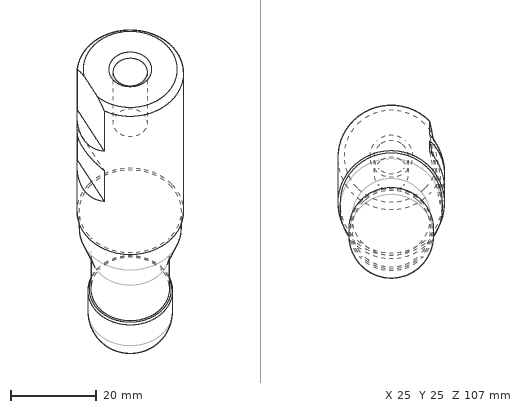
import cadquery as cq

total_length = 107.0

shank_diameter = 25.0
shank_bottom = 50.1
shank_chamfer = 1.5

collar_diameter = 24.0
collar_bottom = 43.1
neck_diameter = 18.4
taper_bottom = 33.2

head_diameter = 19.9
head_top = 18.9
head_chamfer_height = 0.6
head_chamfer_width = 0.3

flat_offset = 10.5
end_flat_length = 17.7
middle_flat_start = 25.5
middle_flat_end = 37.8

centre_hole_diameter = 8.0
countersink_diameter = 10.1
countersink_depth = 1.1
centre_hole_depth = 21.4
drill_point_depth = 2.4

shank_radius = shank_diameter / 2
collar_radius = collar_diameter / 2
neck_radius = neck_diameter / 2
head_radius = head_diameter / 2
flat_depth = shank_radius - flat_offset


def revolve_about_z(profile):
    """Turn a closed XZ profile about the Z axis."""
    return profile.close().revolve(360, (0, 0, 0), (0, 1, 0))


def make_turned_holder():
    """Chamfered shank, collar, taper and neck, ending on the head's top face."""
    return revolve_about_z(
        cq.Workplane("XZ")
        .moveTo(0, head_top)
        .lineTo(neck_radius, head_top)
        .lineTo(neck_radius, taper_bottom)
        .lineTo(collar_radius, collar_bottom)
        .lineTo(collar_radius, shank_bottom)
        .lineTo(shank_radius, shank_bottom)
        .lineTo(shank_radius, total_length - shank_chamfer)
        .lineTo(shank_radius - shank_chamfer, total_length)
        .lineTo(0, total_length)
    )


def extrude_across_shank(profile):
    """Extrude a closed YZ profile across the full shank width."""
    return profile.close().extrude(shank_radius, both=True)


def make_end_flat_cutter():
    """Flat open at the top face, with a 45 degree run-out at its lower end."""
    flat_end = total_length - end_flat_length
    return extrude_across_shank(
        cq.Workplane("YZ")
        .moveTo(-flat_offset, total_length)
        .lineTo(-flat_offset, flat_end)
        .lineTo(-shank_radius, flat_end - flat_depth)
        .lineTo(-shank_radius, total_length)
    )


def make_middle_flat_cutter():
    """Flat with a 45 degree run-out at both ends."""
    upper_end = total_length - middle_flat_start
    lower_end = total_length - middle_flat_end
    return extrude_across_shank(
        cq.Workplane("YZ")
        .moveTo(-flat_offset, upper_end)
        .lineTo(-flat_offset, lower_end)
        .lineTo(-shank_radius, lower_end - flat_depth)
        .lineTo(-shank_radius, upper_end + flat_depth)
    )


def make_centre_hole_cutter():
    """Countersunk blind hole with a conical drill point."""
    hole_radius = centre_hole_diameter / 2
    hole_bottom = total_length - centre_hole_depth
    return revolve_about_z(
        cq.Workplane("XZ")
        .moveTo(0, total_length)
        .lineTo(countersink_diameter / 2, total_length)
        .lineTo(hole_radius, total_length - countersink_depth)
        .lineTo(hole_radius, hole_bottom)
        .lineTo(0, hole_bottom - drill_point_depth)
    )


def make_holder():
    """Complete tool holder."""
    return (
        make_turned_holder()
        .cut(make_end_flat_cutter())
        .cut(make_middle_flat_cutter())
        .cut(make_centre_hole_cutter())
    )


def make_head():
    """Cylindrical head with a hemispherical nose and a steep chamfer at its top rim."""
    arc_drop = head_radius / 2 ** 0.5
    return revolve_about_z(
        cq.Workplane("XZ")
        .moveTo(0, 0)
        .threePointArc((arc_drop, head_radius - arc_drop), (head_radius, head_radius))
        .lineTo(head_radius, head_top - head_chamfer_height)
        .lineTo(head_radius - head_chamfer_width, head_top)
        .lineTo(0, head_top)
    )


holder = make_holder()
head = make_head()

result = cq.Compound.makeCompound([holder.val(), head.val()])